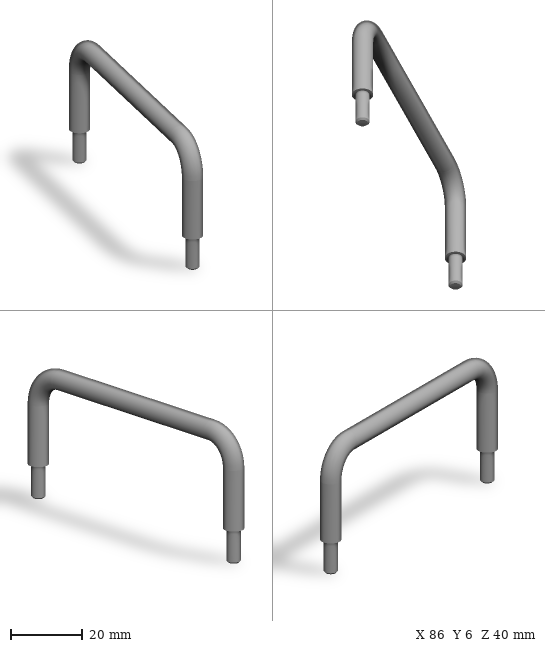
import cadquery as cq

length = 86.0
height = 40.0

bar_diameter = 6.0
bend_radius = 9.0

stud_diameter = 4.0
stud_length = 10.0
stud_chamfer = 0.5

leg_x = (length - bar_diameter) / 2
grip_z = height - stud_length - bar_diameter / 2
bend_start_z = grip_z - bend_radius
bend_end_x = leg_x - bend_radius


def make_bar():
    """Sweep the round section up one leg, along the grip and down the other leg."""
    centreline = (
        cq.Workplane("XZ")
        .moveTo(-leg_x, 0)
        .lineTo(-leg_x, bend_start_z)
        .tangentArcPoint((-bend_end_x, grip_z), relative=False)
        .lineTo(bend_end_x, grip_z)
        .tangentArcPoint((leg_x, bend_start_z), relative=False)
        .lineTo(leg_x, 0)
    )
    return cq.Workplane("XY").center(-leg_x, 0).circle(bar_diameter / 2).sweep(centreline)


def make_stud(x):
    """Stud below a leg, with a chamfered tip."""
    return (
        cq.Workplane("XY")
        .center(x, 0)
        .circle(stud_diameter / 2)
        .extrude(-stud_length)
        .faces("<Z")
        .chamfer(stud_chamfer)
    )


result = make_bar()
for stud_x in (-leg_x, leg_x):
    result = result.union(make_stud(stud_x))